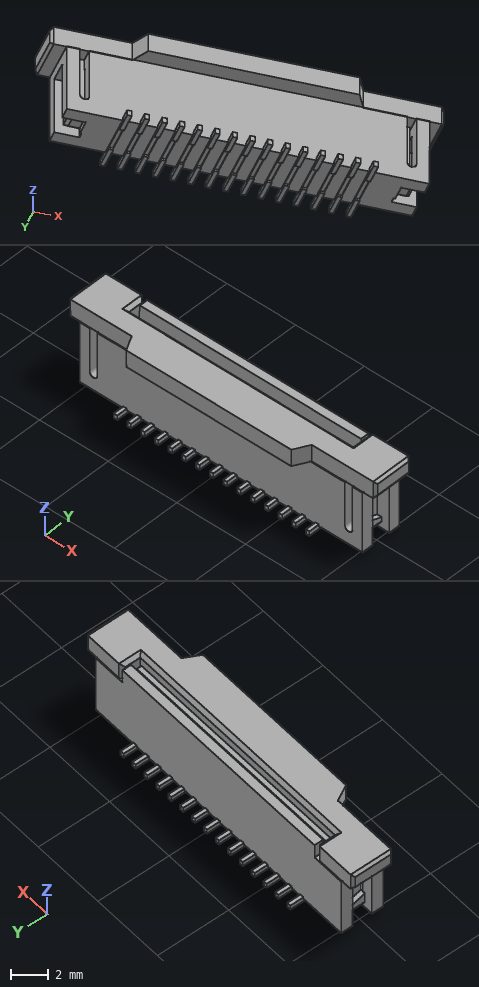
import cadquery as cq


body_length = 20.6
body_width = 2.95
body_bottom = 0.2

cap_length = 22.4
cap_width = 2.85
cap_top = 5.7
cap_thickness = 1.19
cap_bottom = cap_top - cap_thickness
cap_end_chamfer = 0.18

grip_front_y = -2.46
grip_base_length = 13.13
grip_tip_length = 12.0

opening_length = 16.35
opening_front_y = 0.13
opening_chamfer = 0.25
entry_length = 16.13
entry_front_y = 0.47
entry_back_y = 0.87
entry_draft = 0.05
lip_top = cap_top - 0.18
ledge_top = cap_bottom + 0.35

pocket_depth = 1.35
pocket_width = 1.35
pocket_height = 3.63
pocket_top = body_bottom + pocket_height
relief_depth = 0.1
relief_edge_y = 0.35

arm_width = 1.2
arm_recess = 0.83
barb_recess = 0.5
barb_bottom = body_bottom + 0.38
barb_chamfer = 0.2
barb_low_z = 1.1
barb_high_z = 1.52

slot_width = 0.54
slot_recess = 0.75
slot_bottom = body_bottom + 0.92

contact_count = 15
contact_row_length = 14.0
contact_pitch = contact_row_length / (contact_count - 1)
contact_width = 0.27
tail_height = 0.34
back_tail_y = 2.4
front_tail_y = -2.25
tail_inner_y = 0.9
bridge_bottom = 0.13

body_end_x = body_length / 2
body_back_y = body_width / 2
pocket_floor_x = body_end_x - pocket_depth


def box(x_min, x_max, y_min, y_max, z_min, z_max):
    """Box given by its limits along each axis."""
    size = (x_max - x_min, y_max - y_min, z_max - z_min)
    return cq.Workplane("XY").box(*size, centered=False).translate((x_min, y_min, z_min))


def centered_box(length, y_min, y_max, z_min, z_max):
    """Box centred on X = 0."""
    return box(-length / 2, length / 2, y_min, y_max, z_min, z_max)


def make_cap():
    """Cap bar with bevelled ends, a front grip and a chamfered cable opening."""
    cap = centered_box(cap_length, -cap_width / 2, cap_width / 2, cap_bottom, cap_top)
    cap = cap.faces("<X or >X").chamfer(cap_end_chamfer)
    grip = (
        cq.Workplane("XY", origin=(0, 0, cap_bottom))
        .moveTo(-grip_base_length / 2, 0)
        .lineTo(-grip_base_length / 2, -cap_width / 2)
        .lineTo(-grip_tip_length / 2, grip_front_y)
        .lineTo(grip_tip_length / 2, grip_front_y)
        .lineTo(grip_base_length / 2, -cap_width / 2)
        .lineTo(grip_base_length / 2, 0)
        .close()
        .extrude(cap_thickness)
    )
    opening = centered_box(opening_length, opening_front_y, body_back_y, cap_bottom, cap_top)
    cap = cap.union(grip).cut(opening)
    side_x = opening_length / 2
    middle_z = (cap_bottom + cap_top) / 2
    rim = cap.edges(cq.NearestToPointSelector((0, opening_front_y, cap_top)))
    for x in (-side_x, side_x):
        rim = rim.add(cap.edges(cq.NearestToPointSelector((x, cap_width / 4, cap_top))))
        rim = rim.add(cap.edges(cq.NearestToPointSelector((x, cap_width / 2, middle_z))))
    return rim.chamfer(opening_chamfer)


def make_cable_entry():
    """Back lip with a drafted inner face, and the low ledge facing it."""
    lip = (
        cq.Workplane("YZ", origin=(-entry_length / 2, 0, 0))
        .moveTo(body_back_y, cap_bottom)
        .lineTo(body_back_y, lip_top)
        .lineTo(entry_back_y, lip_top)
        .lineTo(entry_back_y - entry_draft, cap_bottom)
        .close()
        .extrude(entry_length)
    )
    ledge = centered_box(entry_length, opening_front_y, entry_front_y, cap_bottom, ledge_top)
    return lip.union(ledge)


def make_pocket():
    """Empty space in the +X end: side pocket, inner relief and front slot."""
    half_width = pocket_width / 2
    pocket = box(pocket_floor_x, body_end_x, -half_width, half_width, body_bottom, pocket_top)
    relief = box(
        pocket_floor_x - relief_depth, pocket_floor_x,
        relief_edge_y, half_width, body_bottom, pocket_top,
    )
    slot_outer_x = body_end_x - slot_recess
    slot_inner_x = slot_outer_x - slot_width
    slot_arc_z = slot_bottom + slot_width / 2
    slot = (
        cq.Workplane("XZ")
        .moveTo(slot_inner_x, cap_bottom)
        .lineTo(slot_inner_x, slot_arc_z)
        .threePointArc(((slot_inner_x + slot_outer_x) / 2, slot_bottom), (slot_outer_x, slot_arc_z))
        .lineTo(slot_outer_x, cap_bottom)
        .close()
        .extrude(body_width / 2)
    )
    return pocket.union(relief).union(slot)


def make_latch():
    """Latch arm in the +X pocket, with a slant-topped barb pointing outward."""
    half_width = arm_width / 2
    root_x = pocket_floor_x - relief_depth
    arm = box(root_x, body_end_x - arm_recess, -half_width, half_width, barb_low_z, cap_bottom)
    barb = (
        cq.Workplane("YZ", origin=(root_x, 0, 0))
        .moveTo(-half_width, barb_bottom)
        .lineTo(half_width, barb_bottom)
        .lineTo(half_width, barb_low_z)
        .lineTo(-half_width, barb_high_z)
        .close()
        .extrude(body_end_x - barb_recess - root_x)
        .faces("<Z")
        .edges("not <X")
        .chamfer(barb_chamfer)
    )
    return arm.union(barb)


def make_contact():
    """One contact: a solder tail on each side joined by a bridge under the housing."""
    back_tail = centered_box(contact_width, tail_inner_y, back_tail_y, 0, tail_height)
    front_tail = centered_box(contact_width, front_tail_y, -tail_inner_y, 0, tail_height)
    bridge = centered_box(contact_width, -tail_inner_y, tail_inner_y, bridge_bottom, tail_height)
    return back_tail.union(front_tail).union(bridge)


result = centered_box(body_length, -body_back_y, body_back_y, body_bottom, cap_bottom)

pocket = make_pocket()
latch = make_latch()
result = result.cut(pocket).cut(pocket.mirror("YZ"))
result = result.union(latch).union(latch.mirror("YZ"))

result = result.union(make_cap()).union(make_cable_entry())

contact = make_contact()
for index in range(contact_count):
    contact_x = index * contact_pitch - contact_row_length / 2
    result = result.union(contact.translate((contact_x, 0, 0)))